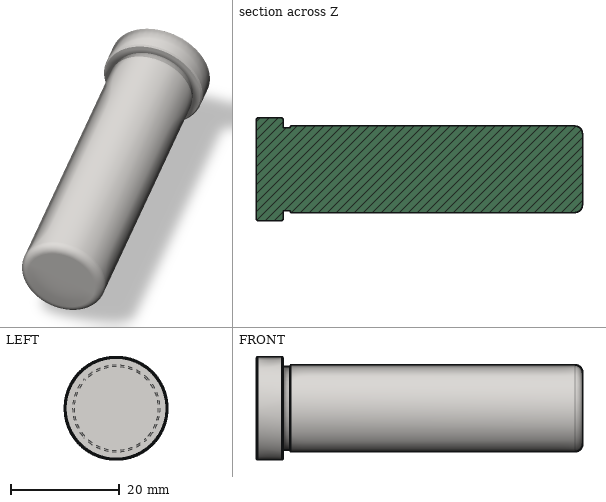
import cadquery as cq

total_length = 60.0
head_diameter = 19.0
head_length = 5.0
head_chamfer = 0.27
shank_diameter = 16.0
neck_diameter = 15.4
neck_length = 1.4
neck_taper_length = 0.2
tip_radius = 1.5


def cylinder_along_x(start, length, diameter):
    """Solid cylinder on the X axis, beginning at x = start."""
    return cq.Workplane("YZ", origin=(start, 0, 0)).circle(diameter / 2).extrude(length)


head = cylinder_along_x(0, head_length, head_diameter).edges().chamfer(head_chamfer)

shank_start = head_length + neck_length
neck = cylinder_along_x(head_length, neck_length, neck_diameter)

taper = (
    cq.Workplane("YZ", origin=(shank_start - neck_taper_length, 0, 0))
    .circle(neck_diameter / 2)
    .workplane(offset=neck_taper_length)
    .circle(shank_diameter / 2)
    .loft(ruled=True)
)

shank = cylinder_along_x(shank_start, total_length - shank_start, shank_diameter)
shank = shank.faces(">X").edges().fillet(tip_radius)

result = head.union(neck).union(taper).union(shank)